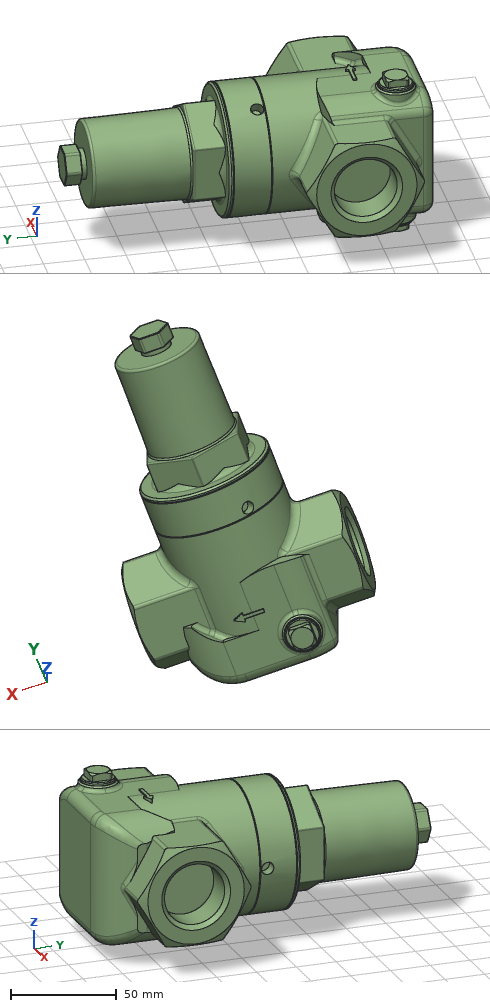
import cadquery as cq
import math


body_diameter = 65.0
body_radius = body_diameter / 2

port_span = 110.0
port_flats = 50.0
port_corner_radius = 2.0
port_face_diameter = 48.5
port_bevel_angle = math.radians(30)
bore_diameter = 30.3
bore_mouth_diameter = 34.6
bore_depth = 17.0
bore_mouth_depth = (bore_mouth_diameter - bore_diameter) / 2
port_blend = 4.0

body_bottom = -38.0
body_top = 40.7
barrel_bottom = -20.0
ring_top = 59.2
shoulder_top = 61.3
hex_top = 76.7
cap_top = 124.8
total_length = 173.26
bolt_top = body_bottom + total_length

lobe_flat_half = 18.0
inlet_shoulder_radius = 20.0
outlet_shoulder_radius = 23.0
lobe_left = -32.7
lobe_right = 37.0
lobe_edge_radius = 5.5
inlet_lobe_top = 11.7
inlet_lobe_crest = 14.5
outlet_lobe_top = -14.0
outlet_lobe_crest = -3.0
outlet_crest_left = 30.0
outlet_crest_right = 34.0
outlet_hollow_x = 25.0
outlet_hollow_y = -9.0
outlet_widest_y = -18.0
outlet_sweep_start = 14.0
outlet_sweep_radius = 25.0
inlet_blend = 3.0
outlet_crest_blend = 2.5
outlet_foot_blend = 3.0

margin = 0.8
tolerance = 0.01
probe_fraction = 0.3

boss_x = -19.0
boss_y = -22.0
boss_diameter = 19.0
boss_top = 35.3
boss_chamfer = 0.8
boss_blend = 2.2
plug_diameter = 16.5
plug_flange_top = 36.7
plug_flange_chamfer = 0.5
plug_square = 11.0
plug_square_corner = 1.5
plug_top = 40.5
plug_bevel_height = 0.8

vent_diameter = 6.1
vent_depth = 6.0
vent_y = 44.4
vent_count = 3
seam_chamfer = 0.3

nut_flats = 46.0
nut_corner_radius = 0.5
nut_top_radius = 0.8
nut_foot_radius = 26.0
shoulder_chamfer = 1.0

cap_base_radius = 21.9
cap_top_radius = 21.3
cap_edge_radius = 1.3
cap_flare = 1.0

bolt_flats = 17.0
bolt_corner_radius = 1.5
bolt_head_height = 8.0
bolt_edge_chamfer = 0.4
bolt_neck_diameter = 15.0

arrow_y = -5.3
arrow_tail = -5.8
arrow_neck = 4.3
arrow_tip = 9.3
arrow_shaft_width = 1.8
arrow_head_width = 4.8
arrow_relief = 0.7


def along_y(bottom, top, radius):
    """Cylinder on the spring axis between two levels."""
    return cq.Workplane("XZ", origin=(0, bottom, 0)).circle(radius).extrude(bottom - top)


def hexagon_along_y(bottom, top, flats, corner_radius, turn):
    """Hexagon prism on the spring axis with rounded corners."""
    return (
        cq.Workplane("XZ", origin=(0, bottom, 0))
        .polygon(6, flats / math.cos(math.pi / 6))
        .extrude(bottom - top)
        .edges("|Y")
        .fillet(corner_radius)
        .rotate((0, 0, 0), (0, 1, 0), turn)
    )


def port_hexagon():
    """Hexagon bar through both ports, corners toward +Y and -Y, bevelled at the ends."""
    half = port_span / 2
    corner = port_flats / math.cos(math.pi / 6) / 2
    face_radius = port_face_diameter / 2
    bevel_length = (corner - face_radius) * math.tan(port_bevel_angle)
    bar = (
        cq.Workplane("YZ", origin=(-half, 0, 0))
        .polygon(6, 2 * corner)
        .extrude(port_span)
        .edges("|X")
        .fillet(port_corner_radius)
    )
    envelope = (
        cq.Workplane("XY")
        .moveTo(-half, 0)
        .lineTo(-half, face_radius)
        .lineTo(-half + bevel_length, corner)
        .lineTo(half - bevel_length, corner)
        .lineTo(half, face_radius)
        .lineTo(half, 0)
        .close()
        .revolve(360, (0, 0, 0), (1, 0, 0))
    )
    return bar.intersect(envelope)


def lobe_section(side, end_x, shoulder_radius):
    """Section across Z of one lobe: flat top and bottom, round shoulders, straight end wall."""
    reach = abs(end_x) - lobe_flat_half

    def shoulder_drop(distance):
        """Fall of the round shoulder at a distance past the flat."""
        return shoulder_radius - math.sqrt(shoulder_radius**2 - distance**2)

    drop = shoulder_drop(reach)
    middle_drop = shoulder_drop(reach / 2)
    flat_x = side * lobe_flat_half
    arc_x = flat_x + side * reach / 2
    z = body_radius
    return (
        cq.Workplane("XZ", origin=(0, body_bottom, 0))
        .moveTo(0, -z)
        .lineTo(flat_x, -z)
        .threePointArc((arc_x, middle_drop - z), (end_x, drop - z))
        .lineTo(end_x, z - drop)
        .threePointArc((arc_x, z - middle_drop), (flat_x, z))
        .lineTo(0, z)
        .close()
        .extrude(body_bottom - body_top)
    )


def inlet_lobe():
    """Lobe on the -X side, from the bottom to just above the port axis."""
    outline = (
        cq.Workplane("XY", origin=(0, 0, -body_radius))
        .moveTo(0, body_bottom)
        .lineTo(lobe_left, body_bottom)
        .lineTo(lobe_left, inlet_lobe_top)
        .threePointArc((boss_x, inlet_lobe_crest), (0, inlet_lobe_top))
        .close()
        .extrude(body_diameter)
    )
    return outline.intersect(lobe_section(-1, lobe_left, inlet_shoulder_radius))


def outlet_lobe():
    """Lobe on the +X side that sweeps from the bottom up into the outlet port."""
    sweep_angle = math.asin((lobe_right - outlet_sweep_start) / outlet_sweep_radius)

    def sweep_point(angle):
        """Point on the round corner that starts tangent to the bottom."""
        x = outlet_sweep_start + outlet_sweep_radius * math.sin(angle)
        y = body_bottom + outlet_sweep_radius * (1 - math.cos(angle))
        return (x, y)

    outline = (
        cq.Workplane("XY", origin=(0, 0, -body_radius))
        .moveTo(0, body_bottom)
        .lineTo(outlet_sweep_start, body_bottom)
        .threePointArc(sweep_point(sweep_angle / 2), sweep_point(sweep_angle))
        .lineTo(lobe_right, outlet_widest_y)
        .lineTo(outlet_crest_right, outlet_lobe_crest)
        .lineTo(outlet_crest_left, outlet_lobe_crest)
        .threePointArc((outlet_hollow_x, outlet_hollow_y), (lobe_flat_half, outlet_lobe_top))
        .lineTo(0, outlet_lobe_top)
        .close()
        .extrude(body_diameter)
    )
    return outline.intersect(lobe_section(1, lobe_right, outlet_shoulder_radius))


def body_core():
    """Cylindrical barrel and port hexagon, with the edge where they meet blended."""
    core = along_y(barrel_bottom, body_top, body_radius).union(port_hexagon())
    reach = body_radius + margin
    near_barrel = cq.selectors.BoxSelector(
        (-reach, barrel_bottom + margin, -body_radius),
        (reach, body_top - margin, body_radius),
    )
    meeting_edges = core.edges(near_barrel).edges("not #X").edges("not |X")
    return meeting_edges.fillet(port_blend)


def boss(side):
    """Round boss for one test plug, chamfered at the rim."""
    return (
        cq.Workplane("XY", origin=(boss_x, boss_y, 0))
        .circle(boss_diameter / 2)
        .extrude(side * boss_top)
        .faces(">Z" if side > 0 else "<Z")
        .chamfer(boss_chamfer)
    )


def lies_on_boss_foot(edge):
    """True for a curved edge that runs round the foot of a boss."""
    point = edge.positionAt(probe_fraction)
    gap = math.hypot(point.x - boss_x, point.y - boss_y) - boss_diameter / 2
    below_rim = abs(point.z) < body_radius + tolerance
    return abs(gap) < tolerance and below_rim and edge.geomType() != "LINE"


def lobes_with_bosses():
    """Both lobes in one piece, rounded round the bottom and the inlet wall, with blended bosses."""
    block = inlet_lobe().union(outlet_lobe())
    block = block.edges("|Y").edges("<X").fillet(lobe_edge_radius)
    block = block.faces("<Y").edges().fillet(lobe_edge_radius)
    for side in (1, -1):
        block = block.union(boss(side))
    foot_edges = [edge for edge in block.edges().vals() if lies_on_boss_foot(edge)]
    return block.newObject(foot_edges).fillet(boss_blend)


def blend_lobes(body):
    """Fillets where the lobes meet the port hexagon and the barrel."""
    flat = port_flats / 2
    box = cq.selectors.BoxSelector

    inlet_wall = box(
        (lobe_left - margin, body_bottom, -flat - margin),
        (lobe_left + margin, inlet_lobe_top / 2, flat + margin),
    )
    body = body.edges(inlet_wall).fillet(inlet_blend)

    upper_crest, lower_crest = [
        box(
            (lobe_flat_half, outlet_lobe_top + margin, level - 2 * margin),
            (outlet_crest_left + margin, outlet_lobe_crest - tolerance, level + 2 * margin),
        )
        for level in (flat, -flat)
    ]
    body = body.edges(upper_crest + lower_crest).fillet(outlet_crest_blend)

    corner_half_width = bore_diameter / 2
    outlet_foot = box(
        (outlet_crest_left - margin, body_bottom, -corner_half_width),
        (lobe_right + margin, -flat + 2 * margin, corner_half_width),
    )
    return body.edges(outlet_foot).fillet(outlet_foot_blend)


def bore(side):
    """Blind bore of one port with its countersunk mouth."""
    outer = side * port_span / 2
    mouth_radius = bore_mouth_diameter / 2
    bore_radius = bore_diameter / 2
    return (
        cq.Workplane("XY")
        .moveTo(outer, 0)
        .lineTo(outer, mouth_radius)
        .lineTo(outer - side * bore_mouth_depth, bore_radius)
        .lineTo(outer - side * bore_depth, bore_radius)
        .lineTo(outer - side * bore_depth, 0)
        .close()
        .revolve(360, (0, 0, 0), (1, 0, 0))
    )


def flow_arrow(side):
    """Raised arrow on the barrel that points toward the outlet."""
    shaft = arrow_shaft_width / 2
    head = arrow_head_width / 2
    return (
        cq.Workplane("XY", origin=(0, arrow_y, 0))
        .moveTo(arrow_tail, -shaft)
        .lineTo(arrow_neck, -shaft)
        .lineTo(arrow_neck, -head)
        .lineTo(arrow_tip, 0)
        .lineTo(arrow_neck, head)
        .lineTo(arrow_neck, shaft)
        .lineTo(arrow_tail, shaft)
        .close()
        .extrude(side * (body_radius + arrow_relief))
    )


valve_body = blend_lobes(body_core().union(lobes_with_bosses()))
for side in (1, -1):
    valve_body = valve_body.union(flow_arrow(side)).cut(bore(side))
valve_body = valve_body.faces(">Y").edges().chamfer(seam_chamfer)


def vented_ring():
    """Disc on top of the body with radial blind vents."""
    ring = along_y(body_top, ring_top, body_radius).faces("<Y or >Y").chamfer(seam_chamfer)
    for index in range(vent_count):
        vent = (
            cq.Workplane("YZ", origin=(body_radius - vent_depth, vent_y, 0))
            .circle(vent_diameter / 2)
            .extrude(2 * vent_depth)
            .rotate((0, 0, 0), (0, 1, 0), index * 360 / vent_count)
        )
        ring = ring.cut(vent)
    return ring


def hexagon_nut():
    """Shoulder disc, concave foot and hexagon with corners toward +Z and -Z."""
    shoulder = along_y(ring_top, shoulder_top, body_radius).faces(">Y").chamfer(shoulder_chamfer)
    shoulder = shoulder.faces("<Y").chamfer(seam_chamfer)
    hexagon = hexagon_along_y(shoulder_top, hex_top, nut_flats, nut_corner_radius, 90)
    hexagon = hexagon.faces(">Y").edges().fillet(nut_top_radius)
    flat_radius = nut_flats / 2
    foot_rise = nut_foot_radius - flat_radius
    bend = foot_rise * (1 - math.sqrt(0.5))
    foot = (
        cq.Workplane("XY")
        .moveTo(0, shoulder_top)
        .lineTo(nut_foot_radius, shoulder_top)
        .threePointArc((flat_radius + bend, shoulder_top + bend), (flat_radius, shoulder_top + foot_rise))
        .lineTo(0, shoulder_top + foot_rise)
        .close()
        .revolve(360, (0, 0, 0), (0, 1, 0))
    )
    return shoulder.union(hexagon).union(foot)


def spring_cap():
    """Slightly tapered cap with a flared base and a rounded top edge."""
    cap = (
        cq.Workplane("XY")
        .moveTo(0, hex_top)
        .lineTo(cap_base_radius + cap_flare / 2, hex_top)
        .lineTo(cap_base_radius, hex_top + cap_flare)
        .lineTo(cap_top_radius, cap_top)
        .lineTo(0, cap_top)
        .close()
        .revolve(360, (0, 0, 0), (0, 1, 0))
    )
    return cap.faces(">Y").edges().fillet(cap_edge_radius)


def adjusting_bolt():
    """Hexagon head with corners toward +X and -X on a round neck."""
    head_bottom = bolt_top - bolt_head_height
    head = hexagon_along_y(head_bottom, bolt_top, bolt_flats, bolt_corner_radius, 0)
    head = head.faces("<Y or >Y").chamfer(bolt_edge_chamfer)
    return head.union(along_y(cap_top, head_bottom, bolt_neck_diameter / 2))


def test_plug(side):
    """Round flange on the boss with a square head bevelled by a cone."""
    flange = (
        cq.Workplane("XY", origin=(0, 0, boss_top))
        .circle(plug_diameter / 2)
        .extrude(plug_flange_top - boss_top)
        .faces(">Z")
        .chamfer(plug_flange_chamfer)
    )
    head = (
        cq.Workplane("XY", origin=(0, 0, plug_flange_top))
        .rect(plug_square, plug_square)
        .extrude(plug_top - plug_flange_top)
        .edges("|Z")
        .fillet(plug_square_corner)
    )
    inner = plug_square / 2
    spread = inner + 2 * plug_bevel_height
    bevel = (
        cq.Workplane("XZ")
        .moveTo(0, plug_flange_top)
        .lineTo(spread, plug_flange_top)
        .lineTo(spread, plug_top - plug_bevel_height)
        .lineTo(inner, plug_top)
        .lineTo(0, plug_top)
        .close()
        .revolve(360, (0, 0, 0), (0, 1, 0))
    )
    plug = flange.union(head.intersect(bevel))
    if side < 0:
        plug = plug.mirror("XY")
    return plug.translate((boss_x, boss_y, 0))


result = cq.Compound.makeCompound([
    valve_body.val(),
    vented_ring().val(),
    hexagon_nut().val(),
    spring_cap().val(),
    adjusting_bolt().val(),
    *[test_plug(side).val() for side in (1, -1)],
])